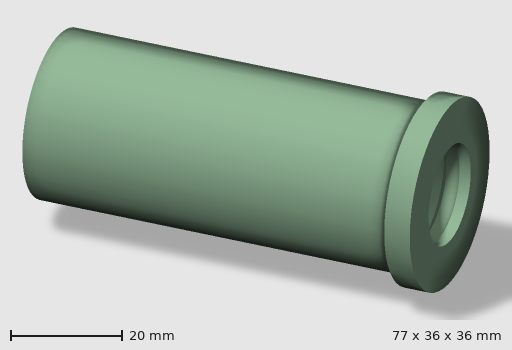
import cadquery as cq
import math

LENGTH = 77.0
FLANGE_THICKNESS = 5.0
FLANGE_DIAMETER = 36.0
TUBE_DIAMETER = 31.7

MAIN_BORE_DIAMETER = 25.4
MIDDLE_BORE_DIAMETER = 20.0
OUTLET_DIAMETER = 19.0
DRILL_POINT_ANGLE = 118.0

main_bore_radius = MAIN_BORE_DIAMETER / 2
middle_bore_radius = MIDDLE_BORE_DIAMETER / 2
outlet_radius = OUTLET_DIAMETER / 2
tube_radius = TUBE_DIAMETER / 2
flange_radius = FLANGE_DIAMETER / 2


def cone_length(wide_radius, narrow_radius):
    """Axial length of a drill-point cone between two radii."""
    return (wide_radius - narrow_radius) / math.tan(math.radians(DRILL_POINT_ANGLE / 2))


flange_face_x = LENGTH - FLANGE_THICKNESS
main_bore_end_x = flange_face_x - cone_length(main_bore_radius, middle_bore_radius)
middle_bore_end_x = flange_face_x + FLANGE_THICKNESS / 2
outlet_start_x = middle_bore_end_x + cone_length(middle_bore_radius, outlet_radius)

half_section = [
    (0, main_bore_radius),
    (0, tube_radius),
    (flange_face_x, tube_radius),
    (flange_face_x, flange_radius),
    (LENGTH, flange_radius),
    (LENGTH, outlet_radius),
    (outlet_start_x, outlet_radius),
    (middle_bore_end_x, middle_bore_radius),
    (flange_face_x, middle_bore_radius),
    (main_bore_end_x, main_bore_radius),
]

result = (
    cq.Workplane("XY")
    .polyline(half_section)
    .close()
    .revolve(360, (0, 0, 0), (1, 0, 0))
)